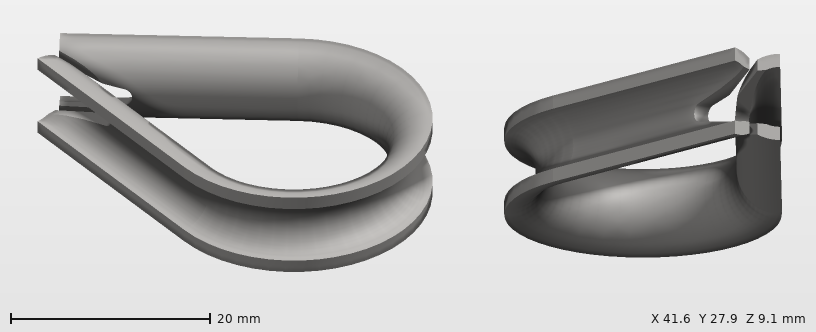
import cadquery as cq
import math

overall_length = 41.6
bow_radius = 13.95
overall_height = 9.1
groove_radius = 3.15
leg_angle = 25.0
leg_gap = 0.87
notch_depth = 8.65
notch_end_radius = 1.0
notch_angle = 14.5

section_radius = overall_height / 2
slope = math.radians(leg_angle)
tip_x = bow_radius - overall_length
leg_length = (-tip_x - bow_radius * math.sin(slope)) / math.cos(slope)
cutter_size = 2 * overall_length


def half_ring(plane):
    """Section sketch, with its open side at the bow radius along local X."""
    return (
        cq.Workplane(plane)
        .moveTo(bow_radius, -section_radius)
        .threePointArc((bow_radius - section_radius, 0), (bow_radius, section_radius))
        .lineTo(bow_radius, groove_radius)
        .threePointArc((bow_radius - groove_radius, 0), (bow_radius, -groove_radius))
        .close()
    )


def make_bow():
    """Sweep the section around the eye between the two tangent planes."""
    bow = half_ring("XZ").revolve(180 + 2 * leg_angle, (0, 0), (0, 1))
    start_angle = -(90 + leg_angle)
    return bow.rotate((0, 0, 0), (0, 0, 1), start_angle)


def make_leg():
    """Straight leg on the +Y side, running tangentially from the bow to its tip."""
    section_plane = cq.Plane(
        origin=(0, 0, 0),
        xDir=(-math.sin(slope), math.cos(slope), 0),
        normal=(-math.cos(slope), -math.sin(slope), 0),
    )
    leg = half_ring(section_plane).extrude(leg_length)
    gap_cutter = cq.Workplane("XY").box(cutter_size, cutter_size, cutter_size)
    return leg.cut(gap_cutter.translate((0, (leg_gap - cutter_size) / 2, 0)))


def make_notch():
    """V notch with a round end, cut across both leg tips."""
    side_slope = math.radians(notch_angle)
    end_x = tip_x + notch_depth
    tangent_x = end_x - notch_end_radius * (1 - math.sin(side_slope))
    tangent_z = notch_end_radius * math.cos(side_slope)
    mouth_z = tangent_z + (tangent_x - tip_x) * math.tan(side_slope)
    return (
        cq.Workplane("XZ")
        .moveTo(tip_x, -mouth_z)
        .lineTo(tangent_x, -tangent_z)
        .threePointArc((end_x, 0), (tangent_x, tangent_z))
        .lineTo(tip_x, mouth_z)
        .close()
        .extrude(bow_radius, both=True)
    )


leg = make_leg()
result = make_bow().union(leg).union(leg.mirror("XZ")).cut(make_notch())